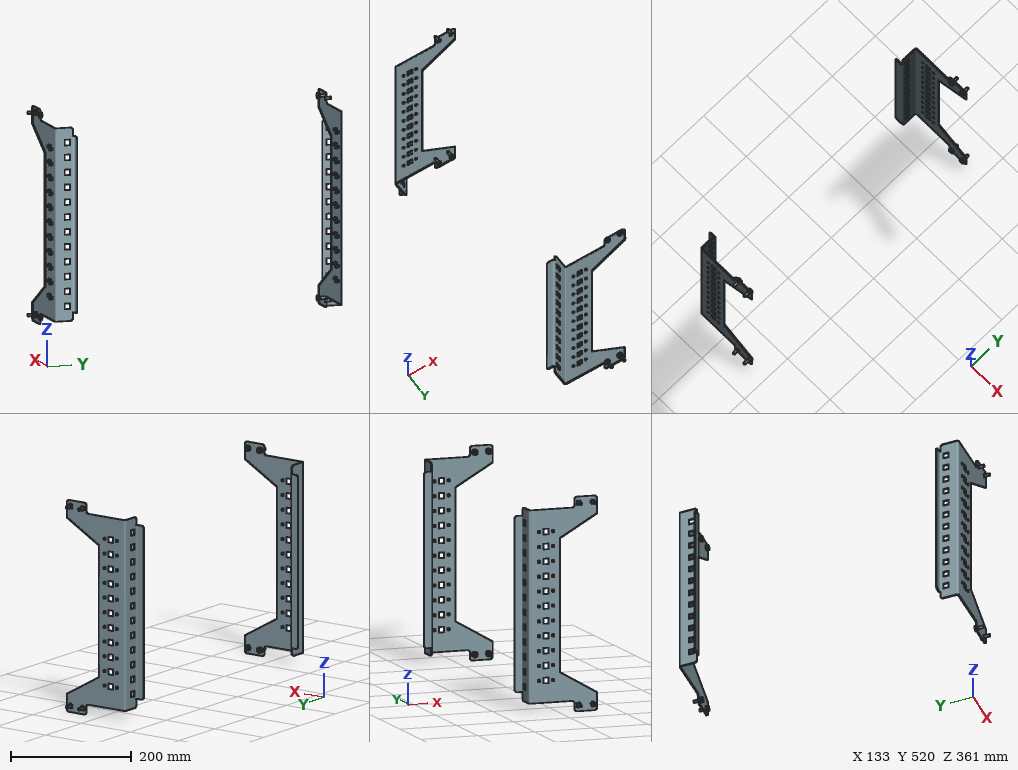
import cadquery as cq
import math

OVERALL_Y = 520.0
PLATE_SPAN = 500.0
FLANGE_GAP = 430.0
RIGHT_EDGE_X = 66.5
LEFT_EDGE_X = -RIGHT_EDGE_X

THICKNESS = 2.05
INNER_BEND = 1.0
OUTER_BEND = INNER_BEND + THICKNESS
WEB_X = -53.5
WEB_HEIGHT = 325.0
FLANGE_HEIGHT = 296.5
CORNER_CUT = 3.0

COLUMN_EDGE_X = 1.0
TAB_WIDTH = 40.0
TAB_TOP_Z = 180.5
TAB_CORNER_CHAMFER = 3.0
TAB_ROOT_CHAMFER = 2.5
ARM_END_Z = 150.5
ARM_ANGLE = 30.0

PLATE_ROWS = 11
WEB_ROWS = PLATE_ROWS + 1
PLATE_ROW_SPAN = 250.0
ROW_PITCH = PLATE_ROW_SPAN / (PLATE_ROWS - 1)
SQUARE_SIZE = 9.5
SMALL_HOLE_DIAMETER = 4.2
SMALL_HOLE_OFFSET = 12.5
PLATE_HOLE_X = -23.5
WEB_HOLE_INSET = 22.5

STUD_DIAMETER = 4.5
TIP_CHAMFER = 0.5
HEAD_DIAMETER = 9.5
HEAD_HEIGHT = 4.0
SOCKET_SIDES = 6
SOCKET_SIZE = 6.0
SOCKET_DEPTH = 2.0
STUD_PITCH = 25.0
STUD_DROP = 10.5
STUD_HOLE_DIAMETER = 6.0

STUD_REACH = (OVERALL_Y - PLATE_SPAN) / 2
PLATE_OUTER_Y = -PLATE_SPAN / 2
PLATE_INNER_Y = PLATE_OUTER_Y + THICKNESS
FLANGE_INNER_Y = -FLANGE_GAP / 2
FLANGE_OUTER_Y = FLANGE_INNER_Y - THICKNESS
WEB_INNER_X = WEB_X + THICKNESS
TAB_LEFT_X = RIGHT_EDGE_X - TAB_WIDTH
TAB_CENTER_X = RIGHT_EDGE_X - TAB_WIDTH / 2
SHOULDER_Z = WEB_HEIGHT / 2
ARM_ROOT_Z = ARM_END_Z - (RIGHT_EDGE_X - COLUMN_EDGE_X) * math.tan(math.radians(ARM_ANGLE))
STUD_XS = [TAB_CENTER_X - STUD_PITCH / 2, TAB_CENTER_X + STUD_PITCH / 2]
STUD_Z = TAB_TOP_Z - STUD_DROP


def row_heights(count):
    """Z positions of evenly pitched rows centred on Z = 0."""
    return [(row - (count - 1) / 2) * ROW_PITCH for row in range(count)]


def make_bent_sheet():
    """Z-shaped section, bent at both ends of the web, extruded along Z."""
    section = (
        cq.Workplane("XY")
        .moveTo(LEFT_EDGE_X, FLANGE_INNER_Y)
        .lineTo(WEB_INNER_X, FLANGE_INNER_Y)
        .lineTo(WEB_INNER_X, PLATE_INNER_Y)
        .lineTo(RIGHT_EDGE_X, PLATE_INNER_Y)
        .lineTo(RIGHT_EDGE_X, PLATE_OUTER_Y)
        .lineTo(WEB_X, PLATE_OUTER_Y)
        .lineTo(WEB_X, FLANGE_OUTER_Y)
        .lineTo(LEFT_EDGE_X, FLANGE_OUTER_Y)
        .close()
        .extrude(TAB_TOP_Z, both=True)
    )
    inner_corners = [(WEB_INNER_X, PLATE_INNER_Y), (WEB_X, FLANGE_OUTER_Y)]
    outer_corners = [(WEB_INNER_X, FLANGE_INNER_Y), (WEB_X, PLATE_OUTER_Y)]
    for corners, radius in ((inner_corners, INNER_BEND), (outer_corners, OUTER_BEND)):
        for x, y in corners:
            section = section.edges(cq.selectors.NearestToPointSelector((x, y, 0))).fillet(radius)
    return section


def make_plate_outline():
    """Front outline of the web and side plate with its two arms, as a prism across the sheet."""
    upper = [
        (COLUMN_EDGE_X, ARM_ROOT_Z),
        (RIGHT_EDGE_X, ARM_END_Z),
        (RIGHT_EDGE_X, TAB_TOP_Z),
        (TAB_LEFT_X, TAB_TOP_Z),
        (TAB_LEFT_X, SHOULDER_Z),
        (LEFT_EDGE_X, SHOULDER_Z),
    ]
    lower = [(x, -z) for x, z in reversed(upper)]
    prism = cq.Workplane("XZ").polyline(upper + lower).close().extrude(OVERALL_Y / 2)
    for side in (-1, 1):
        for x in (TAB_LEFT_X, RIGHT_EDGE_X):
            corner = cq.selectors.NearestToPointSelector((x, -OVERALL_Y / 4, side * TAB_TOP_Z))
            prism = prism.edges(corner).chamfer(TAB_CORNER_CHAMFER)
        root = cq.selectors.NearestToPointSelector((TAB_LEFT_X, -OVERALL_Y / 4, side * SHOULDER_Z))
        prism = prism.edges(root).chamfer(TAB_ROOT_CHAMFER)
    return prism


def make_flange_trim():
    """Side outline as a prism along X: trims the flange and cuts the web corners."""
    web_end_y = FLANGE_INNER_Y - OUTER_BEND
    flange_z = FLANGE_HEIGHT / 2
    upper = [
        (FLANGE_INNER_Y, flange_z),
        (web_end_y, flange_z),
        (web_end_y, SHOULDER_Z - CORNER_CUT),
        (web_end_y - CORNER_CUT, SHOULDER_Z),
        (web_end_y - CORNER_CUT, TAB_TOP_Z),
        (PLATE_OUTER_Y, TAB_TOP_Z),
    ]
    lower = [(y, -z) for y, z in reversed(upper)]
    return cq.Workplane("YZ").polyline(upper + lower).close().extrude(OVERALL_Y / 2, both=True)


def make_flange_corner_cuts():
    """Wedges that bevel the two free corners of the flange."""
    wedges = cq.Workplane("XZ")
    for side in (-1, 1):
        end_z = side * FLANGE_HEIGHT / 2
        wedges = (
            wedges.moveTo(LEFT_EDGE_X, end_z)
            .lineTo(LEFT_EDGE_X + CORNER_CUT, end_z)
            .lineTo(LEFT_EDGE_X, end_z - side * CORNER_CUT)
            .close()
        )
    return wedges.extrude(OVERALL_Y / 2)


def make_plate_holes():
    """Rows of one square hole between two small round holes, through the side plate."""
    heights = row_heights(PLATE_ROWS)
    squares = [(PLATE_HOLE_X, z) for z in heights]
    rounds = [(PLATE_HOLE_X + side * SMALL_HOLE_OFFSET, z) for z in heights for side in (-1, 1)]
    plane = cq.Workplane("XZ", origin=(0, PLATE_INNER_Y, 0))
    cutter = plane.pushPoints(squares).rect(SQUARE_SIZE, SQUARE_SIZE).extrude(THICKNESS)
    return cutter.union(plane.pushPoints(rounds).circle(SMALL_HOLE_DIAMETER / 2).extrude(THICKNESS))


def make_web_holes():
    """Square holes through the web, half a pitch off the rows of the side plate."""
    points = [(PLATE_OUTER_Y + WEB_HOLE_INSET, z) for z in row_heights(WEB_ROWS)]
    plane = cq.Workplane("YZ", origin=(WEB_X, 0, 0))
    return plane.pushPoints(points).rect(SQUARE_SIZE, SQUARE_SIZE).extrude(THICKNESS)


def make_stud_holes():
    """Clearance holes in the tabs around the stud shanks."""
    points = [(x, side * STUD_Z) for x in STUD_XS for side in (-1, 1)]
    plane = cq.Workplane("XZ", origin=(0, PLATE_INNER_Y, 0))
    return plane.pushPoints(points).circle(STUD_HOLE_DIAMETER / 2).extrude(THICKNESS)


def make_bracket():
    """Bracket on the -Y side, with all its holes."""
    bracket = make_bent_sheet().intersect(make_plate_outline()).intersect(make_flange_trim())
    bracket = bracket.cut(make_flange_corner_cuts())
    return bracket.cut(make_plate_holes()).cut(make_web_holes()).cut(make_stud_holes())


def make_stud(x, z):
    """Stud with a socketed head on the inner face of the plate and its shank pointing outwards."""
    seat = cq.Workplane("XZ", origin=(x, PLATE_INNER_Y, z))
    head = seat.circle(HEAD_DIAMETER / 2).extrude(-HEAD_HEIGHT)
    head = head.faces(">Y").workplane().polygon(SOCKET_SIDES, SOCKET_SIZE).cutBlind(-SOCKET_DEPTH)
    shank = seat.circle(STUD_DIAMETER / 2).extrude(THICKNESS + STUD_REACH)
    shank = shank.faces("<Y").chamfer(TIP_CHAMFER)
    return head.union(shank)


front_bodies = [make_bracket()]
for stud_x in STUD_XS:
    for stud_side in (-1, 1):
        front_bodies.append(make_stud(stud_x, stud_side * STUD_Z))
rear_bodies = [body.mirror("XZ") for body in front_bodies]

result = cq.Compound.makeCompound([body.val() for body in front_bodies + rear_bodies])